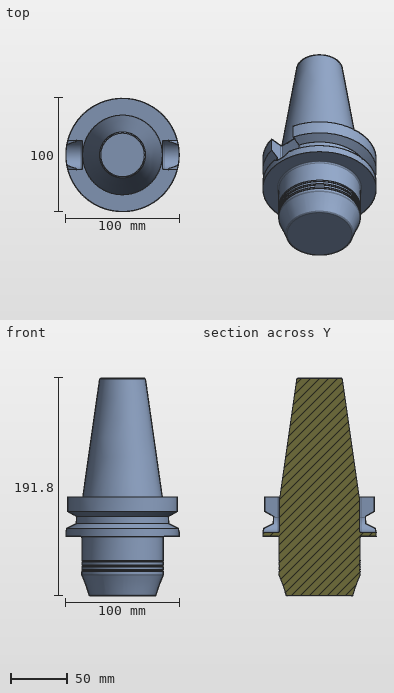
import cadquery as cq
import math

total_height = 191.8
flange_top = 87.0
shank_radius = 35.1
taper_ratio = 1 / 7
shank_chamfer = 1.0

flange_radius = 100.0 / 2
flange_bottom = 52.4
groove_neck_radius = 42.5
groove_neck_top = 70.0
groove_neck_bottom = 63.7
groove_flank_angle = math.radians(30)

nose_radius = 72.0 / 2
nose_bottom = 18.5
nose_corner_radius = 1.0
flange_fillet = 1.2
tip_radius = 29.3
tip_sagitta = 0.4
tip_corner_radius = 1.2

ring_count = 3
ring_pitch = 4.0
ring_width = 1.7
ring_depth = 0.8
top_ring_center = 30.5

slot_width = 25.7
slot_floor_distance = 35.3
slot_floor_fillet = 1.2
slot_arc_center = 68.9


def revolved_body():
    """Shank, flange and nose as one turned profile."""
    taper_length = total_height - flange_top
    shank_end_radius = shank_radius - taper_length * taper_ratio
    flank_height = (flange_radius - groove_neck_radius) * math.tan(groove_flank_angle)
    tip_mid_radius = (nose_radius + tip_radius) / 2 - tip_sagitta
    tip_mid_height = nose_bottom / 2

    profile = (
        cq.Workplane("XZ")
        .lineTo(tip_radius, 0)
        .threePointArc((tip_mid_radius, tip_mid_height), (nose_radius, nose_bottom))
        .lineTo(nose_radius, flange_bottom)
        .lineTo(flange_radius, flange_bottom)
        .lineTo(flange_radius, groove_neck_bottom - flank_height)
        .lineTo(groove_neck_radius, groove_neck_bottom)
        .lineTo(groove_neck_radius, groove_neck_top)
        .lineTo(flange_radius, groove_neck_top + flank_height)
        .lineTo(flange_radius, flange_top)
        .lineTo(shank_radius, flange_top)
        .lineTo(shank_end_radius, total_height)
        .lineTo(0, total_height)
        .close()
    )
    return profile.revolve(360, (0, 0, 0), (0, 1, 0))


def circle_at(radius, height):
    """Selector for the circular edge of the given radius and height."""
    reach = radius + 0.2
    slack = 0.1
    return cq.selectors.BoxSelector(
        (-reach, -reach, height - slack), (reach, reach, height + slack), boundingbox=True
    )


def soften_edges(body):
    """Chamfer the shank end and round the corners of the nose."""
    body = body.faces(">Z").edges().chamfer(shank_chamfer)
    body = body.faces("<Z").edges().fillet(tip_corner_radius)
    body = body.edges(circle_at(nose_radius, nose_bottom)).fillet(nose_corner_radius)
    return body.edges(circle_at(nose_radius, flange_bottom)).fillet(flange_fillet)


def ring_cutter(height):
    """Triangular ring whose point reaches into the nose."""
    half_width = ring_width / 2
    corners = [
        (nose_radius, height - half_width),
        (nose_radius - ring_depth, height),
        (nose_radius, height + half_width),
        (nose_radius + ring_depth, height + half_width),
        (nose_radius + ring_depth, height - half_width),
    ]
    return cq.Workplane("XZ").polyline(corners).close().revolve(360, (0, 0, 0), (0, 1, 0))


def slot_cutter():
    """Round-bottomed slot on the +X side, open at the flange top."""
    half_width = slot_width / 2
    return (
        cq.Workplane("YZ", origin=(slot_floor_distance, 0, 0))
        .moveTo(-half_width, flange_top)
        .lineTo(-half_width, slot_arc_center)
        .threePointArc((0, slot_arc_center - half_width), (half_width, slot_arc_center))
        .lineTo(half_width, flange_top)
        .close()
        .extrude(flange_radius)
        .faces("<X")
        .edges("not >Z")
        .fillet(slot_floor_fillet)
    )


result = soften_edges(revolved_body())

for ring in range(ring_count):
    result = result.cut(ring_cutter(top_ring_center - ring * ring_pitch))

for side_angle in (0, 180):
    result = result.cut(slot_cutter().rotate((0, 0, 0), (0, 0, 1), side_angle))